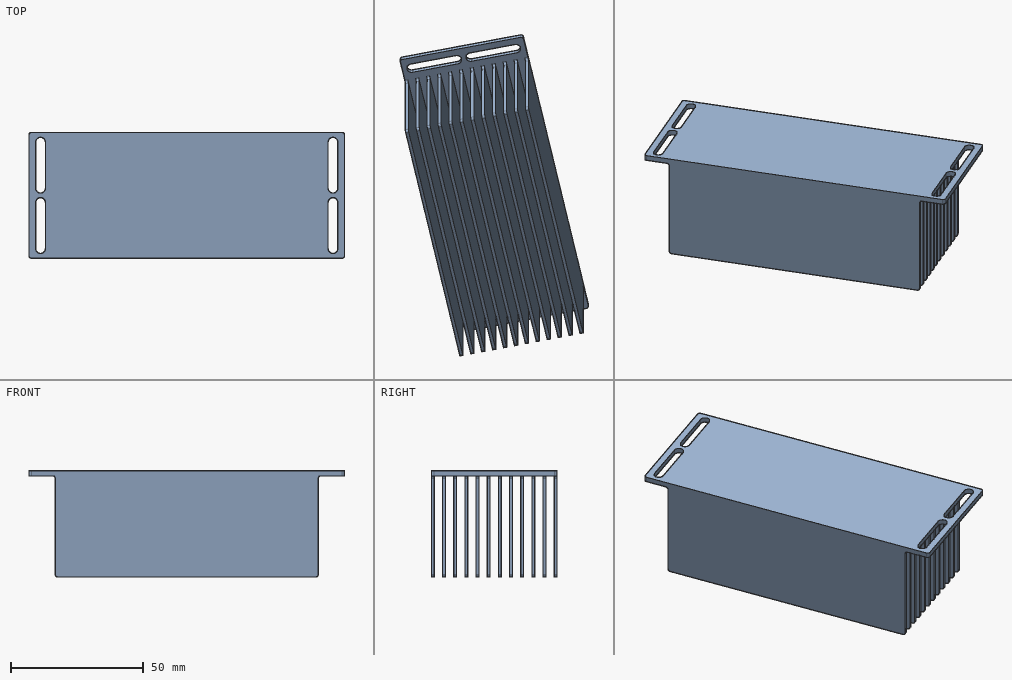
import cadquery as cq

plate_length = 118.8
plate_width = 47.4
plate_thickness = 2.0
plate_corner_radius = 1.0

overall_height = 40.0
fin_count = 12
fin_length = 99.0
fin_thickness = 1.2
fin_edge_radius = 1.0
fin_height = overall_height - plate_thickness
fin_pitch = (plate_width - fin_thickness) / (fin_count - 1)

slot_width = 3.6
slot_length = 20.9
slot_inset = 4.4
slot_spacing = 22.7


def make_plate():
    """Flat plate with rounded vertical corners."""
    plate = cq.Workplane("XY").box(
        plate_length, plate_width, plate_thickness, centered=(True, True, False)
    )
    return plate.edges("|Z").fillet(plate_corner_radius)


def make_fin():
    """One fin in the XZ plane: rounded at the free corners, flared where it meets the plate."""
    half = fin_length / 2
    radius = fin_edge_radius
    flared_half = half + radius
    return (
        cq.Workplane("XZ")
        .moveTo(-flared_half, 0)
        .radiusArc((-half, -radius), radius)
        .lineTo(-half, radius - fin_height)
        .radiusArc((radius - half, -fin_height), -radius)
        .lineTo(half - radius, -fin_height)
        .radiusArc((half, radius - fin_height), -radius)
        .lineTo(half, -radius)
        .radiusArc((flared_half, 0), radius)
        .close()
        .extrude(fin_thickness / 2, both=True)
    )


def make_slots():
    """Cutters for the four round-ended slots."""
    return (
        cq.Workplane("XY")
        .rarray(plate_length - 2 * slot_inset, slot_spacing, 2, 2)
        .slot2D(slot_length, slot_width, 90)
        .extrude(plate_thickness)
    )


result = make_plate().cut(make_slots())
fin = make_fin()
for index in range(fin_count):
    fin_y = (index - (fin_count - 1) / 2) * fin_pitch
    result = result.union(fin.translate((0, fin_y, 0)))